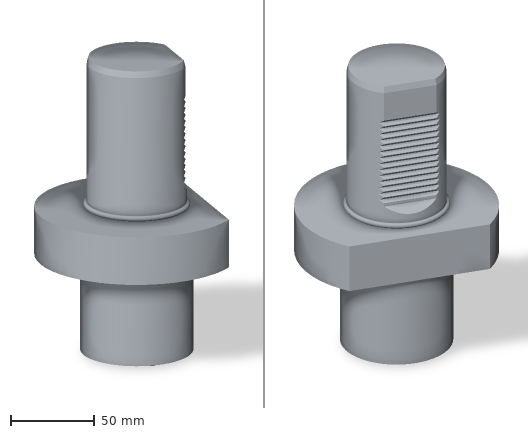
import cadquery as cq
import math


flange_diameter = 123.0
flange_thickness = 30.0
flange_flat_y = 42.3

shank_diameter = 60.0
shank_length = 94.0
shank_flat_y = 25.0
shank_flat_start = 13.8
tip_chamfer_height = 4.0
tip_chamfer_inset = 1.0

groove_count = 14
groove_pitch = 3.99
groove_depth = 1.9
first_groove_height = 17.9

ring_outer_diameter = 64.1
ring_section_diameter = 3.4

spigot_diameter = 68.0
spigot_length = 60.0
spigot_fillet = 4.0

button_height = 2.5
button_face_diameter = 6.3
button_offset_x = 24.0

shank_top = flange_thickness + shank_length


def make_flange():
    flange = cq.Workplane("XY").circle(flange_diameter / 2).extrude(flange_thickness)
    beyond_flat = (
        cq.Workplane("XY")
        .box(flange_diameter, flange_diameter, flange_thickness, centered=(True, False, False))
        .translate((0, flange_flat_y, 0))
    )
    return flange.cut(beyond_flat)


def make_shank():
    """Round shank with a flat that runs out at 45 degrees; the tip is chamfered all round."""
    radius = shank_diameter / 2
    chamfer_z = shank_top - tip_chamfer_height
    shank = (
        cq.Workplane("XZ")
        .moveTo(0, flange_thickness)
        .lineTo(radius, flange_thickness)
        .lineTo(radius, chamfer_z)
        .lineTo(radius - tip_chamfer_inset, shank_top)
        .lineTo(0, shank_top)
        .close()
        .revolve(360, (0, 0), (0, 1))
    )
    flat_start_z = flange_thickness + shank_flat_start
    flat_depth = radius - shank_flat_y
    flat_cut = (
        cq.Workplane("YZ")
        .moveTo(shank_flat_y - tip_chamfer_inset, shank_top)
        .lineTo(shank_flat_y, chamfer_z)
        .lineTo(shank_flat_y, flat_start_z)
        .lineTo(radius, flat_start_z - flat_depth)
        .lineTo(radius, shank_top)
        .close()
        .extrude(radius, both=True)
    )
    return shank.cut(flat_cut)


def make_grooves():
    """90 degree V-grooves running along X."""
    grooves = cq.Workplane("YZ")
    for index in range(groove_count):
        center_z = flange_thickness + first_groove_height + index * groove_pitch
        grooves = (
            grooves.moveTo(shank_flat_y - groove_depth, center_z)
            .lineTo(shank_flat_y, center_z + groove_depth)
            .lineTo(shank_flat_y, center_z - groove_depth)
            .close()
        )
    return grooves.extrude(shank_diameter / 2, both=True)


def make_ring():
    section_radius = ring_section_diameter / 2
    center_radius = ring_outer_diameter / 2 - section_radius
    return (
        cq.Workplane("XZ")
        .center(center_radius, flange_thickness + section_radius)
        .circle(section_radius)
        .revolve(360, (-center_radius, 0), (-center_radius, 1))
    )


def make_spigot():
    """Round spigot whose root flares into the flange with a concave fillet."""
    radius = spigot_diameter / 2
    arc_shift = spigot_fillet * (1 - math.sqrt(0.5))
    return (
        cq.Workplane("XZ")
        .lineTo(radius + spigot_fillet, 0)
        .threePointArc((radius + arc_shift, -arc_shift), (radius, -spigot_fillet))
        .lineTo(radius, -spigot_length)
        .lineTo(0, -spigot_length)
        .close()
        .revolve(360, (0, 0), (0, 1))
    )


def make_button(center_x):
    """Low round button with a quarter-circle edge from the spigot face to its flat end."""
    face_radius = button_face_diameter / 2
    arc_reach = button_height * math.sqrt(0.5)
    return (
        cq.Workplane("XZ")
        .lineTo(face_radius + button_height, 0)
        .threePointArc((face_radius + arc_reach, -arc_reach), (face_radius, -button_height))
        .lineTo(0, -button_height)
        .close()
        .revolve(360, (0, 0), (0, 1))
        .translate((center_x, 0, -spigot_length))
    )


result = make_flange()
result = result.union(make_shank().cut(make_grooves()))
result = result.union(make_ring())
result = result.union(make_spigot())
for side in (-1, 1):
    result = result.union(make_button(side * button_offset_x))